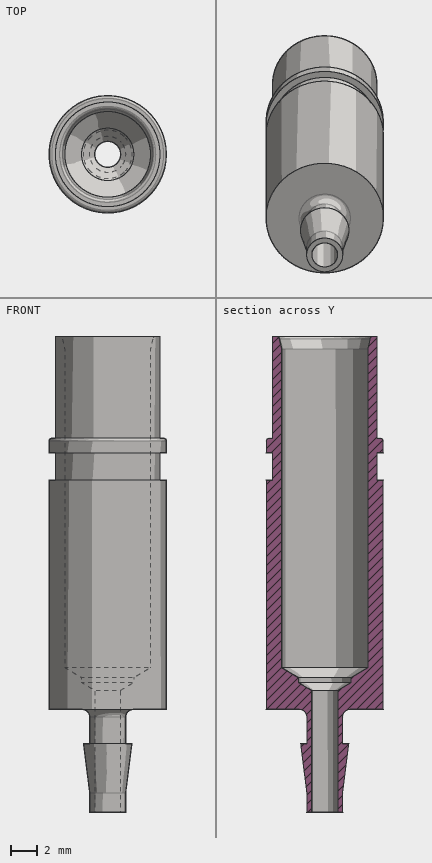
import cadquery as cq
import math

diagonal = math.sqrt(0.5)

total_length = 36.5
body_diameter = 9.0
body_radius = body_diameter / 2
body_bottom = 7.9
body_top = 25.48

sleeve_radius = 4.0
collar_bottom = 27.55
collar_top = 28.7
collar_fillet = 0.22

stem_radius = 1.4
stem_fillet = 0.6
barb_radius = 1.85
barb_bottom = 1.5
barb_top = 5.25

bore_radius = 3.3
mouth_radius = 3.45
mouth_depth = 1.0
rim_fillet = 0.22
hole_radius = 1.0
pilot_radius = 2.0
pilot_depth = 0.35
drill_point_angle = 118.0
drill_slope = 1 / math.tan(math.radians(drill_point_angle / 2))
pilot_floor_bottom = body_bottom + 1.45
pilot_floor_top = pilot_floor_bottom + (pilot_radius - hole_radius) * drill_slope
bore_floor_bottom = pilot_floor_top + pilot_depth
bore_floor_top = bore_floor_bottom + (bore_radius - pilot_radius) * drill_slope


def make_exterior():
    """Revolve the barb, body, collar and sleeve."""
    fillet_start = body_bottom - stem_fillet
    fillet_end_radius = stem_radius + stem_fillet
    fillet_mid = (
        fillet_end_radius - stem_fillet * diagonal,
        fillet_start + stem_fillet * diagonal,
    )
    collar_mid = (
        body_radius - collar_fillet * (1 - diagonal),
        collar_top - collar_fillet * (1 - diagonal),
    )
    profile = (
        cq.Workplane("XZ")
        .moveTo(0, 0)
        .lineTo(stem_radius, 0)
        .lineTo(stem_radius, barb_bottom)
        .lineTo(barb_radius, barb_top)
        .lineTo(stem_radius, barb_top)
        .lineTo(stem_radius, fillet_start)
        .threePointArc(fillet_mid, (fillet_end_radius, body_bottom))
        .lineTo(body_radius, body_bottom)
        .lineTo(body_radius, body_top)
        .lineTo(sleeve_radius, body_top)
        .lineTo(sleeve_radius, collar_bottom)
        .lineTo(body_radius, collar_bottom)
        .lineTo(body_radius, collar_top - collar_fillet)
        .threePointArc(collar_mid, (body_radius - collar_fillet, collar_top))
        .lineTo(sleeve_radius, collar_top)
        .lineTo(sleeve_radius, total_length)
        .lineTo(0, total_length)
        .close()
    )
    return profile.revolve(360, (0, 0, 0), (0, 1, 0))


def make_bore():
    """Revolve the through hole, pilot recess, main bore and tapered mouth."""
    rim_radius = mouth_radius + rim_fillet
    rim_start = total_length - rim_fillet
    rim_mid = (rim_radius - rim_fillet * diagonal, rim_start + rim_fillet * diagonal)
    profile = (
        cq.Workplane("XZ")
        .moveTo(0, 0)
        .lineTo(hole_radius, 0)
        .lineTo(hole_radius, pilot_floor_bottom)
        .lineTo(pilot_radius, pilot_floor_top)
        .lineTo(pilot_radius, bore_floor_bottom)
        .lineTo(bore_radius, bore_floor_top)
        .lineTo(bore_radius, total_length - mouth_depth)
        .lineTo(mouth_radius, rim_start)
        .threePointArc(rim_mid, (rim_radius, total_length))
        .lineTo(0, total_length)
        .close()
    )
    return profile.revolve(360, (0, 0, 0), (0, 1, 0))


result = make_exterior().cut(make_bore())